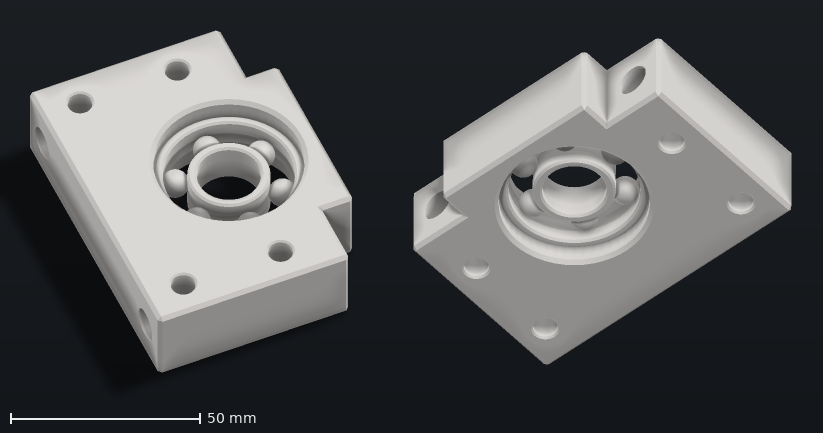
import cadquery as cq

LENGTH = 86.0
DEPTH = 64.0
HEIGHT = 23.0
BOSS_WIDTH = 50.0
SHOULDER_DEPTH = 54.95
BEARING_FROM_FRONT = 39.0
EDGE_CHAMFER = 1.0

FRONT_Y = -BEARING_FROM_FRONT
SHOULDER_Y = FRONT_Y + SHOULDER_DEPTH
BACK_Y = FRONT_Y + DEPTH

HOLE_SPACING_X = 67.9
HOLE_SPACING_Y = 28.0
VERTICAL_HOLE_DIAMETER = 6.6
VERTICAL_HOLE_CHAMFER = 0.5
HORIZONTAL_HOLE_DIAMETER = 9.0
HOLE_XS = (-HOLE_SPACING_X / 2, HOLE_SPACING_X / 2)
VERTICAL_HOLE_YS = (-HOLE_SPACING_Y, 0.0)

BEARING_OUTER_DIAMETER = 40.0
BEARING_BORE_DIAMETER = 17.0
BEARING_WIDTH = 12.0
OUTER_RING_BORE_DIAMETER = 34.9
INNER_RING_DIAMETER = 22.0
RING_CHAMFER = 0.6
BALL_COUNT = 6
BALL_DIAMETER = 7.6
PITCH_RADIUS = (BEARING_OUTER_DIAMETER + BEARING_BORE_DIAMETER) / 4


def chamfered_hole_cutter(diameter, chamfer):
    """Cutter along Z through the full housing height, widened by a chamfer at both ends."""
    radius = diameter / 2
    half_height = HEIGHT / 2
    return (
        cq.Workplane("XZ")
        .moveTo(0, -half_height)
        .lineTo(radius + chamfer, -half_height)
        .lineTo(radius, -half_height + chamfer)
        .lineTo(radius, half_height - chamfer)
        .lineTo(radius + chamfer, half_height)
        .lineTo(0, half_height)
        .close()
        .revolve(360, (0, 0, 0), (0, 1, 0))
    )


def make_housing_block():
    """Stepped block with chamfered rims and chamfered convex vertical corners."""
    half_length = LENGTH / 2
    half_boss = BOSS_WIDTH / 2
    block = (
        cq.Workplane("XY")
        .workplane(offset=-HEIGHT / 2)
        .moveTo(-half_length, FRONT_Y)
        .lineTo(half_length, FRONT_Y)
        .lineTo(half_length, SHOULDER_Y)
        .lineTo(half_boss, SHOULDER_Y)
        .lineTo(half_boss, BACK_Y)
        .lineTo(-half_boss, BACK_Y)
        .lineTo(-half_boss, SHOULDER_Y)
        .lineTo(-half_length, SHOULDER_Y)
        .close()
        .extrude(HEIGHT)
    )
    outer_corners = block.edges("|Z and (<X or >X or >Y)")
    rims = block.faces("<Z or >Z").edges()
    return block.newObject(outer_corners.vals() + rims.vals()).chamfer(EDGE_CHAMFER)


def make_housing():
    """Housing block with the bearing bore and the mounting holes."""
    housing = make_housing_block().cut(chamfered_hole_cutter(BEARING_OUTER_DIAMETER, EDGE_CHAMFER))

    vertical_hole = chamfered_hole_cutter(VERTICAL_HOLE_DIAMETER, VERTICAL_HOLE_CHAMFER)
    for x in HOLE_XS:
        for y in VERTICAL_HOLE_YS:
            housing = housing.cut(vertical_hole.translate((x, y, 0)))

    horizontal_holes = (
        cq.Workplane("XZ", origin=(0, FRONT_Y, 0))
        .pushPoints([(x, 0) for x in HOLE_XS])
        .circle(HORIZONTAL_HOLE_DIAMETER / 2)
        .extrude(-DEPTH)
    )
    return housing.cut(horizontal_holes)


def make_ring(outer_diameter, bore_diameter):
    """Bearing ring with chamfered rims and a groove for the balls."""
    ring = (
        cq.Workplane("XY")
        .workplane(offset=-BEARING_WIDTH / 2)
        .circle(outer_diameter / 2)
        .circle(bore_diameter / 2)
        .extrude(BEARING_WIDTH)
        .faces("<Z or >Z")
        .edges()
        .chamfer(RING_CHAMFER)
    )
    ball_track = cq.Workplane(cq.Solid.makeTorus(PITCH_RADIUS, BALL_DIAMETER / 2))
    return ring.cut(ball_track)


def make_balls():
    """Balls evenly spaced on the pitch circle, each a separate solid."""
    first_ball = cq.Workplane("XY").center(PITCH_RADIUS, 0).sphere(BALL_DIAMETER / 2).val()
    step_angle = 360 / BALL_COUNT
    return [first_ball.rotate((0, 0, 0), (0, 0, 1), i * step_angle) for i in range(BALL_COUNT)]


housing = make_housing()
outer_ring = make_ring(BEARING_OUTER_DIAMETER, OUTER_RING_BORE_DIAMETER)
inner_ring = make_ring(INNER_RING_DIAMETER, BEARING_BORE_DIAMETER)
balls = make_balls()
bodies = [body.solids().val() for body in (housing, outer_ring, inner_ring)]

result = cq.Compound.makeCompound([*bodies, *balls])